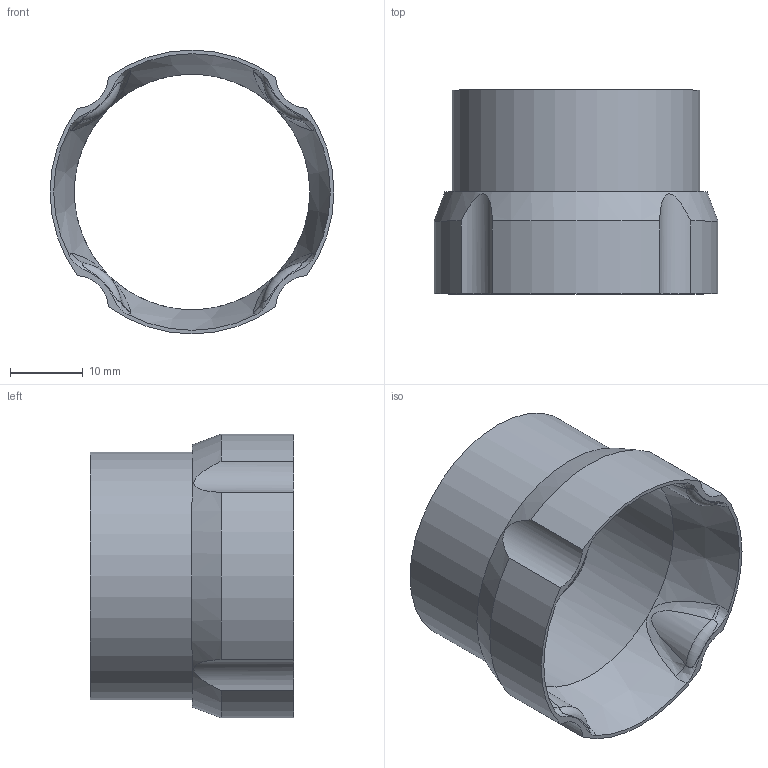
import cadquery as cq
import math

total_length = 28.0
collar_length = 14.0
collar_straight_length = 10.0
mouth_depth = 10.0

bore_radius = 32.4 / 2
sleeve_radius = 34.0 / 2
collar_radius = 39.0 / 2
collar_end_radius = 18.0
mouth_radius = 19.0

cone_start = -3.0
cone_end = 2 * mouth_depth

scallop_count = 4
scallop_spacing = 360 / scallop_count
first_scallop_angle = 45.0
scallop_radius = 4.5
scallop_axis_distance = 22.6
bump_wall_thickness = 1.82
bump_radius = scallop_radius + bump_wall_thickness
bump_nose_radius = 1.2
bump_blend_radius = 2.5


def revolve_about_y(points):
    """Revolve a closed (radius, y) outline about the Y axis."""
    return cq.Workplane("XY").polyline(points).close().revolve(360, (0, 0, 0), (0, 1, 0))


def rod_on_first_scallop_axis(radius, length):
    """Cylinder running along +Y from the collar end on the first scallop axis."""
    angle = math.radians(first_scallop_angle)
    center_x = scallop_axis_distance * math.cos(angle)
    center_z = scallop_axis_distance * math.sin(angle)
    return cq.Workplane("XZ").center(center_x, center_z).circle(radius).extrude(-length)


def turned_copies(shape):
    """The shape turned about the Y axis to each scallop position."""
    return [shape.rotate((0, 0, 0), (0, 1, 0), i * scallop_spacing) for i in range(scallop_count)]


def make_outer_body():
    """Solid collar and sleeve."""
    return revolve_about_y(
        [
            (0, 0),
            (collar_radius, 0),
            (collar_radius, collar_straight_length),
            (collar_end_radius, collar_length),
            (sleeve_radius, collar_length),
            (sleeve_radius, total_length),
            (0, total_length),
        ]
    )


def cone_radius(y):
    """Radius of the mouth cone at a position along Y."""
    return mouth_radius + (bore_radius - mouth_radius) * y / mouth_depth


def make_mouth_with_one_bump():
    """Mouth cavity less the first bump, with the bump sides blended into the cone."""
    cone = revolve_about_y(
        [
            (0, cone_start),
            (cone_radius(cone_start), cone_start),
            (cone_radius(cone_end), cone_end),
            (0, cone_end),
        ]
    )
    bump = rod_on_first_scallop_axis(bump_radius, cone_end)
    bump = bump.faces("<Y").edges().fillet(bump_nose_radius)
    return cone.cut(bump).edges("%BSPLINE").fillet(bump_blend_radius)


def make_mouth():
    """Mouth cavity left clear by all the bumps."""
    first, *others = turned_copies(make_mouth_with_one_bump())
    for other in others:
        first = first.intersect(other)
    return first


def make_bore():
    return cq.Workplane("XZ").circle(bore_radius).extrude(-total_length)


result = make_outer_body()
for scallop in turned_copies(rod_on_first_scallop_axis(scallop_radius, collar_length)):
    result = result.cut(scallop)
result = result.cut(make_mouth()).cut(make_bore())